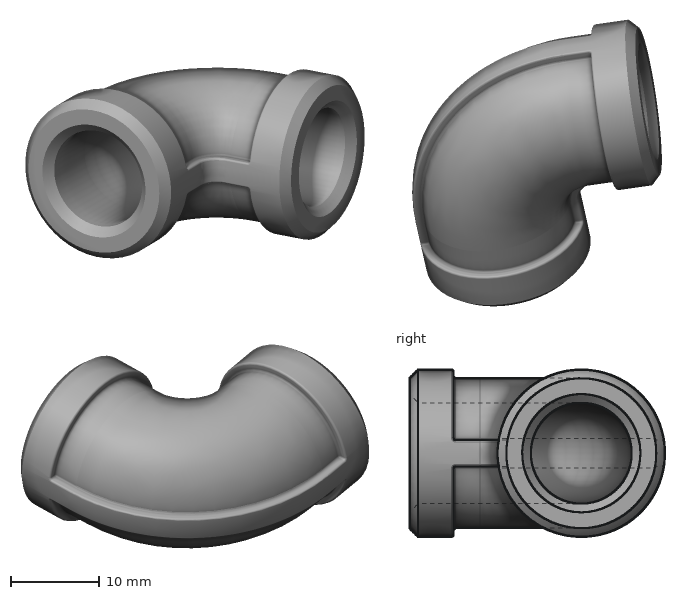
import cadquery as cq

collar_diameter = 19.0
wall_step = 1.0
bend_radius = 11.5
straight_length = 8.0
collar_length = 5.0
rib_width = 3.0
edge_chamfer = 1.0
blend_radius = 0.25
bore_diameter = 11.45

collar_radius = collar_diameter / 2
tube_radius = collar_radius - wall_step
bore_radius = bore_diameter / 2
leg_length = bend_radius + straight_length
clear_radius = collar_radius + wall_step
clear_width = 4 * leg_length


def elbow(radius, setback=0):
    """Round bar along the bent centreline, ending short of each mouth by the setback."""
    leg = straight_length - setback
    y_leg = cq.Workplane("XZ", origin=(0, -bend_radius, 0)).circle(radius).extrude(leg)
    x_leg = cq.Workplane("YZ", origin=(bend_radius, 0, 0)).circle(radius).extrude(leg)
    bend = (
        cq.Workplane("XZ", origin=(0, -bend_radius, 0))
        .circle(radius)
        .revolve(90, (bend_radius, 0.3, 0), (bend_radius, 0, 0))
    )
    return bend.union(y_leg).union(x_leg).clean()


def side_recesses():
    """Material removed above and below the ribs, down to the tube wall between the collars."""
    shell = elbow(clear_radius, collar_length).cut(elbow(tube_radius, collar_length))
    rib_band = cq.Workplane("XY").box(clear_width, clear_width, rib_width)
    return shell.cut(rib_band)


def bore():
    """Bent passage with a flared opening at each mouth."""
    passage = elbow(bore_radius)
    mouths = (
        (cq.Vector(leg_length, 0, 0), cq.Vector(-1, 0, 0)),
        (cq.Vector(0, -leg_length, 0), cq.Vector(0, 1, 0)),
    )
    for centre, inward in mouths:
        flare = cq.Solid.makeCone(bore_radius + edge_chamfer, bore_radius, edge_chamfer, centre, inward)
        passage = passage.union(cq.Workplane(flare))
    return passage


body = elbow(collar_radius).cut(side_recesses()).clean()

sides_and_shoulders = body.faces("(|X or |Y or |Z) and (not (>X or <Y))")
body = sides_and_shoulders.edges().fillet(blend_radius)

body = body.faces(">X or <Y").edges().chamfer(edge_chamfer)

result = body.cut(bore())